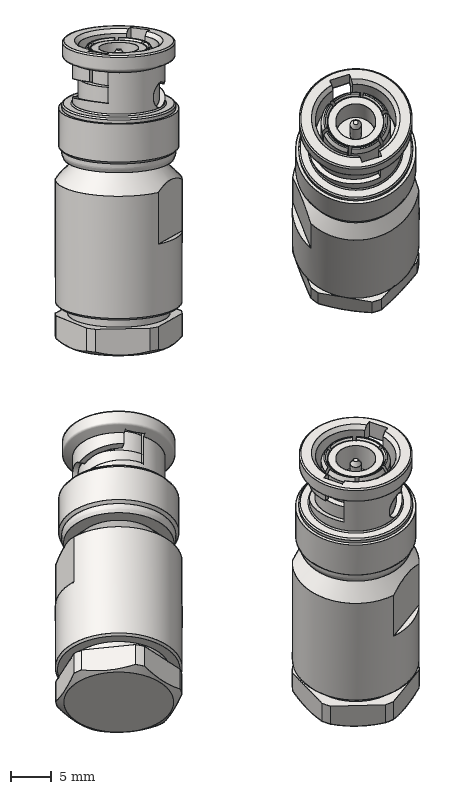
import cadquery as cq
import math

TOTAL_HEIGHT = 38.1
EDGE_TOLERANCE = 0.005
FULL_TURN = 360

BODY_DIAMETER = 15.5
BODY_RADIUS = BODY_DIAMETER / 2
ACROSS_FLATS = 14.0

NUT_SIDES = 6
NUT_HEIGHT = 3.5
NUT_BOTTOM_RADIUS = 6.7
NUT_CHAMFER_HEIGHT = 0.6

UNDERCUT_RADIUS = 6.25
BODY_BOTTOM = 4.75
BODY_CHAMFER = 0.25
CONE_BOTTOM = 20.55
CONE_TOP = 23.25
CONE_TOP_RADIUS = BODY_RADIUS - (CONE_TOP - CONE_BOTTOM)
FLAT_BOTTOM = 14.0

RING_RADIUS = 7.35
RING_STEP_RADIUS = 6.97
RING_BEVEL_RADIUS = 6.75
RING_BEVEL_TOP = 23.78
RING_BEVEL_ROUND = 0.57
RING_BOTTOM = 24.43
RING_CHAMFER = 0.35
RING_TOP = 29.57
RING_STEP_TOP = 30.2
RING_STEP_CHAMFER = 0.2

NECK_RADIUS = 5.68
NECK_FOOT_RADIUS = 5.83
NECK_FOOT_HEIGHT = 0.2
HEAD_RADIUS = 6.9
HEAD_EDGE_CHAMFER = 0.2
HEAD_BOTTOM = 35.65
HEAD_RIM_BOTTOM = 36.15
HEAD_RIM_ROUND = 0.3
BORE_RADIUS = 4.9
BORE_CHAMFER = 0.5
SOCKET_FLOOR = 33.55
CORE_RADIUS = 5.0

NOTCH_WIDTH = 2.5
NOTCH_DEPTH_RADIUS = 5.95
RAMP_ANGLE = 14.0
RAMP_WIDTH = 2.32
LOCK_DIAMETER = 3.15
LOCK_RADIUS = LOCK_DIAMETER / 2
LOCK_HEIGHT = 31.95

FINGER_OUTER_RADIUS = 4.23
FINGER_TIP_RADIUS = 3.9
FINGER_BORE_RADIUS = 3.45
FINGER_TOP = 37.42
FINGER_TAPER_HEIGHT = 0.6
FINGER_BORE_CHAMFER = 0.23
FINGER_SLOT_WIDTH = 0.45
FINGER_COUNT = 6
INSULATOR_RADIUS = 3.4
INSULATOR_BORE_RADIUS = 2.45
INSULATOR_TOP = 37.2
PIN_RADIUS = 0.7
PIN_TIP_RADIUS = 0.3
PIN_SHOULDER = 36.35
PIN_TOP = 36.95


def revolved(profile):
    """Solid of revolution about Z from a closed list of (radius, height) points."""
    return cq.Workplane("XZ").polyline(profile).close().revolve(FULL_TURN, (0, 0), (0, 1))


def round_edge(turned, height, radius):
    """Round the circular edge that lies at the given height."""
    circles = turned.edges("%CIRCLE")
    at_height = circles.filter(lambda edge: abs(edge.Center().z - height) < EDGE_TOLERANCE)
    return at_height.fillet(radius)


def clamping_nut():
    """Hexagon with flats facing +X and -X, corners turned off and the lower edge chamfered."""
    corner_diameter = ACROSS_FLATS / math.cos(math.pi / NUT_SIDES)
    hexagon = cq.Workplane("XY").polygon(NUT_SIDES, corner_diameter).extrude(NUT_HEIGHT)
    hexagon = hexagon.rotate((0, 0, 0), (0, 0, 1), FULL_TURN / (2 * NUT_SIDES))
    envelope = revolved([
        (0, 0),
        (NUT_BOTTOM_RADIUS, 0),
        (BODY_RADIUS, NUT_CHAMFER_HEIGHT),
        (BODY_RADIUS, NUT_HEIGHT),
        (0, NUT_HEIGHT),
    ])
    return hexagon.intersect(envelope)


def body():
    """Turned body on its undercut, with wrench flats on the upper part of the +X and -X sides."""
    turned = revolved([
        (0, NUT_HEIGHT),
        (UNDERCUT_RADIUS, NUT_HEIGHT),
        (UNDERCUT_RADIUS, BODY_BOTTOM),
        (BODY_RADIUS - BODY_CHAMFER, BODY_BOTTOM),
        (BODY_RADIUS, BODY_BOTTOM + BODY_CHAMFER),
        (BODY_RADIUS, CONE_BOTTOM),
        (CONE_TOP_RADIUS, CONE_TOP),
        (0, CONE_TOP),
    ])
    flat_height = CONE_TOP - FLAT_BOTTOM
    flat = cq.Workplane("XY").box(
        BODY_DIAMETER, BODY_DIAMETER, flat_height, centered=(True, True, False)
    )
    for side in (1, -1):
        offset = side * (ACROSS_FLATS / 2 + BODY_RADIUS)
        turned = turned.cut(flat.translate((offset, 0, FLAT_BOTTOM)))
    return turned


def bayonet_slot():
    """Cutter for the notch, ramp and locking hole that open towards -Y and -X."""
    reach = 2 * NECK_RADIUS
    angle = math.radians(RAMP_ANGLE)
    along = (-math.cos(angle), math.sin(angle))
    across = (math.sin(angle), math.cos(angle))
    floor_start = (-LOCK_RADIUS * across[0], LOCK_HEIGHT - LOCK_RADIUS * across[1])
    floor_end = (floor_start[0] + reach * along[0], floor_start[1] + reach * along[1])
    roof_end = (floor_end[0] + RAMP_WIDTH * across[0], floor_end[1] + RAMP_WIDTH * across[1])
    roof_start = (floor_start[0] + RAMP_WIDTH * across[0], floor_start[1] + RAMP_WIDTH * across[1])

    side_plane = cq.Workplane("YZ").workplane(offset=NOTCH_WIDTH / 2)
    ramp = side_plane.polyline([floor_start, floor_end, roof_end, roof_start]).close().extrude(-reach)
    lock = side_plane.center(0, LOCK_HEIGHT).circle(LOCK_RADIUS).extrude(-reach)
    notch = cq.Workplane("XY").box(
        NOTCH_WIDTH, NOTCH_DEPTH_RADIUS, TOTAL_HEIGHT - SOCKET_FLOOR, centered=(True, False, False)
    ).translate((0, -NOTCH_DEPTH_RADIUS, SOCKET_FLOOR))
    return ramp.union(lock).union(notch)


def coupling_sleeve():
    """Grip ring, neck and head turned as one piece, with two opposite bayonet slots."""
    sleeve = revolved([
        (CORE_RADIUS, CONE_TOP),
        (RING_BEVEL_RADIUS, CONE_TOP),
        (RING_STEP_RADIUS, RING_BEVEL_TOP),
        (RING_STEP_RADIUS, RING_BOTTOM),
        (RING_RADIUS, RING_BOTTOM + RING_CHAMFER),
        (RING_RADIUS, RING_TOP),
        (RING_STEP_RADIUS, RING_TOP),
        (RING_STEP_RADIUS, RING_STEP_TOP - RING_STEP_CHAMFER),
        (RING_STEP_RADIUS - RING_STEP_CHAMFER, RING_STEP_TOP),
        (NECK_FOOT_RADIUS, RING_STEP_TOP),
        (NECK_RADIUS, RING_STEP_TOP + NECK_FOOT_HEIGHT),
        (NECK_RADIUS, HEAD_BOTTOM),
        (HEAD_RADIUS, HEAD_RIM_BOTTOM),
        (HEAD_RADIUS, TOTAL_HEIGHT - HEAD_EDGE_CHAMFER),
        (HEAD_RADIUS - HEAD_EDGE_CHAMFER, TOTAL_HEIGHT),
        (BORE_RADIUS + BORE_CHAMFER, TOTAL_HEIGHT),
        (BORE_RADIUS, TOTAL_HEIGHT - BORE_CHAMFER),
        (BORE_RADIUS, SOCKET_FLOOR),
        (CORE_RADIUS, SOCKET_FLOOR),
    ])
    sleeve = round_edge(sleeve, RING_BEVEL_TOP, RING_BEVEL_ROUND)
    sleeve = round_edge(sleeve, HEAD_RIM_BOTTOM, HEAD_RIM_ROUND)
    slot = bayonet_slot()
    opposite_slot = slot.rotate((0, 0, 0), (0, 0, 1), FULL_TURN / 2)
    return sleeve.cut(slot).cut(opposite_slot)


def spring_fingers():
    """Ring with a tapered tip, split by radial slots."""
    ring = revolved([
        (FINGER_BORE_RADIUS, SOCKET_FLOOR),
        (FINGER_OUTER_RADIUS, SOCKET_FLOOR),
        (FINGER_OUTER_RADIUS, FINGER_TOP - FINGER_TAPER_HEIGHT),
        (FINGER_TIP_RADIUS, FINGER_TOP),
        (FINGER_BORE_RADIUS + FINGER_BORE_CHAMFER, FINGER_TOP),
        (FINGER_BORE_RADIUS, FINGER_TOP - FINGER_BORE_CHAMFER),
    ])
    slot = cq.Workplane("XY").box(
        2 * FINGER_OUTER_RADIUS, FINGER_SLOT_WIDTH, FINGER_TOP - SOCKET_FLOOR, centered=(True, True, False)
    ).translate((0, 0, SOCKET_FLOOR))
    for index in range(FINGER_COUNT // 2):
        ring = ring.cut(slot.rotate((0, 0, 0), (0, 0, 1), index * FULL_TURN / FINGER_COUNT))
    return ring


def insulator():
    """Plain sleeve between the fingers and the pin."""
    ring = cq.Workplane("XY").workplane(offset=SOCKET_FLOOR)
    ring = ring.circle(INSULATOR_RADIUS).circle(INSULATOR_BORE_RADIUS)
    return ring.extrude(INSULATOR_TOP - SOCKET_FLOOR)


def centre_pin():
    """Pin with a conical tip standing on the socket floor."""
    return revolved([
        (0, SOCKET_FLOOR),
        (PIN_RADIUS, SOCKET_FLOOR),
        (PIN_RADIUS, PIN_SHOULDER),
        (PIN_TIP_RADIUS, PIN_TOP),
        (0, PIN_TOP),
    ])


def core():
    """Solid cylinder inside the sleeve; its top face is the socket floor."""
    disc = cq.Workplane("XY").workplane(offset=CONE_TOP).circle(CORE_RADIUS)
    return disc.extrude(SOCKET_FLOOR - CONE_TOP)


result = clamping_nut().union(body()).union(core()).union(coupling_sleeve())
result = result.union(spring_fingers()).union(insulator()).union(centre_pin())